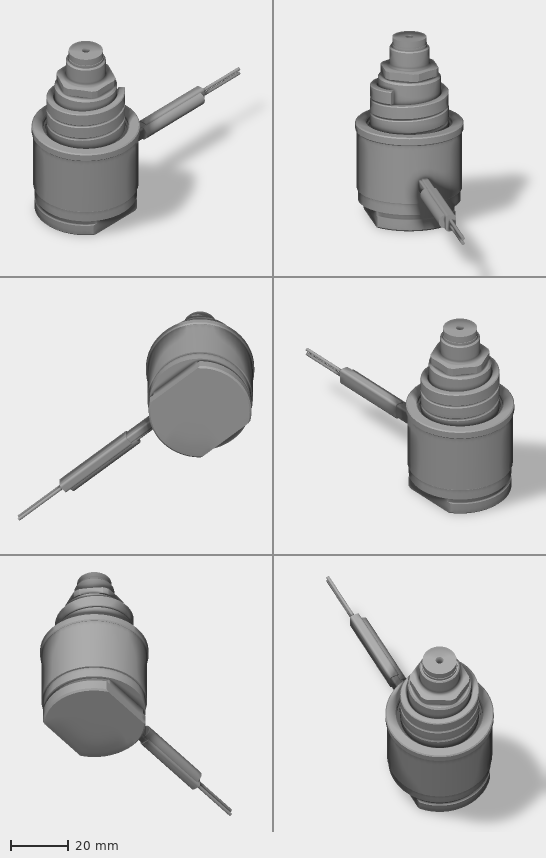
import cadquery as cq
import math

base_radius = 18.0
base_chamfer = 0.6
base_height = 4.3
base_groove_radius = 17.0
base_groove_top = 6.2
flat_distance = 14.0
skirt_top = 10.1
seam_radius = 17.8
shell_bottom = 10.5
shell_radius = 18.5
flange_radius = 19.0
flange_bottom = 31.9
flange_chamfer = 0.4
housing_top = 35.0
recess_radius = 15.0
recess_ledge = 33.5
recess_bore_radius = 14.3
recess_floor = 32.5
recess_chamfer = 0.4

core_radius = 11.0
core_top = 52.2
core_chamfer = 0.6
neck_radius = 8.9
nut_bottom = 52.8
nut_edge_top = 55.5
nut_corner_radius = 10.4
nut_across_flats = 19.0
cone_radius = 7.8
cone_top = 55.9
collar_radius = 7.0
flare_radius = cone_radius - collar_radius
collar_top = 62.7
collar_chamfer = 0.4
cap_seat_radius = 6.2
cap_seat_top = 63.7
cap_radius = 6.0
overall_height = 66.2
dimple_radius = 1.4
dimple_depth = 2.4

coil_inner_radius = 11.3
coil_outer_radius = 13.8
coil_pitch = 5.3
coil_wire_height = 4.8
coil_edge_chamfer = 0.3
coil_start_angle = 90.0
coil_end_angle = 50.0
coil_full_turns = 3
coil_start_bottom = 29.6
tang_width = 1.4
tang_end = 14.2

cable_level = 17.2
cable_root = 10.0
cable_x = -1.4
cable_width = 2.8
cable_height = 5.2
cable_edge_radius = 0.7
sleeve_start = 31.0
sleeve_length = 30.0
sleeve_width = 3.6
sleeve_height = 6.0
sleeve_edge_radius = 0.9
wire_end = 81.0
wire_radius = 0.6
wire_spacing = 1.8
wire_insertion = 1.0
inner_cable_x = -0.3
inner_cable_width = 2.2
inner_cable_height = 4.4
inner_cable_edge_radius = 0.6
fuse_x = 0.1
fuse_radius = 2.4
fuse_start = 29.0
fuse_length = 30.0


def disc(radius, bottom, top):
    return cq.Workplane("XY").workplane(offset=bottom).circle(radius).extrude(top - bottom)


def rounded_bar(x_center, width, height, start, end, edge_radius):
    bar = cq.Workplane("XY").box(width, end - start, height)
    bar = bar.edges("|Y").fillet(edge_radius)
    return bar.translate((x_center, (start + end) / 2, cable_level))


def rod(x_center, z_center, radius, start, end):
    plane = cq.Plane(origin=(x_center, start, z_center), xDir=(1, 0, 0), normal=(0, 1, 0))
    return cq.Workplane(plane).circle(radius).extrude(end - start)


def make_housing():
    base = disc(base_radius, 0, base_height).faces("<Z").chamfer(base_chamfer)
    base = base.union(disc(base_groove_radius, base_height, base_groove_top))
    flats = cq.Workplane("XY").box(
        2 * flat_distance, 2 * base_radius, base_groove_top, centered=(True, True, False)
    )
    base = base.intersect(flats)
    flange = disc(flange_radius, flange_bottom, housing_top).edges().chamfer(flange_chamfer)
    housing = base.union(disc(base_radius, base_groove_top, skirt_top))
    housing = housing.union(disc(seam_radius, skirt_top, shell_bottom))
    housing = housing.union(disc(shell_radius, shell_bottom, flange_bottom))
    housing = housing.union(flange)
    housing = housing.cut(disc(recess_radius, recess_ledge, housing_top))
    housing = housing.cut(disc(recess_bore_radius, recess_floor, recess_ledge))
    rim = cq.Workplane("XY").workplane(offset=housing_top).circle(recess_radius + recess_chamfer)
    return housing.cut(rim.extrude(-recess_chamfer, taper=45))


def make_nut():
    flare_center = (cone_radius, cone_top + flare_radius)
    flare_middle = (
        flare_center[0] - flare_radius * math.cos(math.pi / 4),
        flare_center[1] - flare_radius * math.sin(math.pi / 4),
    )
    blank = (
        cq.Workplane("XZ")
        .moveTo(0, nut_bottom)
        .lineTo(nut_corner_radius, nut_bottom)
        .lineTo(nut_corner_radius, nut_edge_top)
        .lineTo(cone_radius, cone_top)
        .threePointArc(flare_middle, (collar_radius, flare_center[1]))
        .lineTo(0, flare_center[1])
        .close()
        .revolve(360, (0, 0, 0), (0, 1, 0))
    )
    hexagon = (
        cq.Workplane("XY")
        .workplane(offset=nut_bottom)
        .polygon(6, nut_across_flats, circumscribed=True)
        .extrude(overall_height - nut_bottom)
    )
    return blank.intersect(hexagon)


def make_spindle():
    spindle = disc(core_radius, recess_floor, core_top).faces(">Z").chamfer(core_chamfer)
    spindle = spindle.union(disc(neck_radius, core_top, nut_bottom))
    spindle = spindle.union(make_nut())
    spindle = spindle.union(disc(collar_radius, cone_top, collar_top).faces(">Z").chamfer(collar_chamfer))
    spindle = spindle.union(disc(cap_seat_radius, collar_top, cap_seat_top))
    spindle = spindle.union(disc(cap_radius, cap_seat_top, overall_height))
    dimple = cq.Solid.makeCone(0, dimple_radius, dimple_depth)
    return spindle.cut(dimple.translate((0, 0, overall_height - dimple_depth)))


def make_coil():
    middle_radius = (coil_inner_radius + coil_outer_radius) / 2
    wire_width = coil_outer_radius - coil_inner_radius
    turns = coil_full_turns - (coil_start_angle - coil_end_angle) / 360
    path = cq.Wire.makeHelix(coil_pitch, coil_pitch * turns, middle_radius)
    half_width = wire_width / 2
    half_height = coil_wire_height / 2
    chamfer = coil_edge_chamfer
    section = (
        cq.Workplane("XZ")
        .center(middle_radius, 0)
        .moveTo(-half_width + chamfer, -half_height)
        .lineTo(half_width - chamfer, -half_height)
        .lineTo(half_width, -half_height + chamfer)
        .lineTo(half_width, half_height - chamfer)
        .lineTo(half_width - chamfer, half_height)
        .lineTo(-half_width + chamfer, half_height)
        .lineTo(-half_width, half_height - chamfer)
        .lineTo(-half_width, -half_height + chamfer)
        .close()
    )
    coil = section.sweep(cq.Workplane(obj=path), isFrenet=True)
    coil = coil.rotate((0, 0, 0), (0, 0, 1), coil_start_angle)
    return coil.translate((0, 0, coil_start_bottom + half_height))


def make_tang():
    tang = cq.Workplane("XY").box(
        tang_width, tang_end - coil_inner_radius, coil_wire_height, centered=(True, False, False)
    )
    return tang.translate((0, coil_inner_radius, coil_start_bottom))


def make_cables():
    sleeve_end = sleeve_start + sleeve_length
    cables = rounded_bar(cable_x, cable_width, cable_height, cable_root, sleeve_start, cable_edge_radius)
    cables = cables.union(
        rounded_bar(cable_x, sleeve_width, sleeve_height, sleeve_start, sleeve_end, sleeve_edge_radius)
    )
    for side in (-1, 1):
        wire_z = cable_level + side * wire_spacing / 2
        cables = cables.union(rod(cable_x, wire_z, wire_radius, sleeve_end - wire_insertion, wire_end))
    cables = cables.union(
        rounded_bar(
            inner_cable_x,
            inner_cable_width,
            inner_cable_height,
            cable_root,
            fuse_start,
            inner_cable_edge_radius,
        )
    )
    return cables.union(rod(fuse_x, cable_level, fuse_radius, fuse_start, fuse_start + fuse_length))


result = (
    make_housing()
    .union(make_spindle())
    .union(make_coil())
    .union(make_tang())
    .union(make_cables())
)